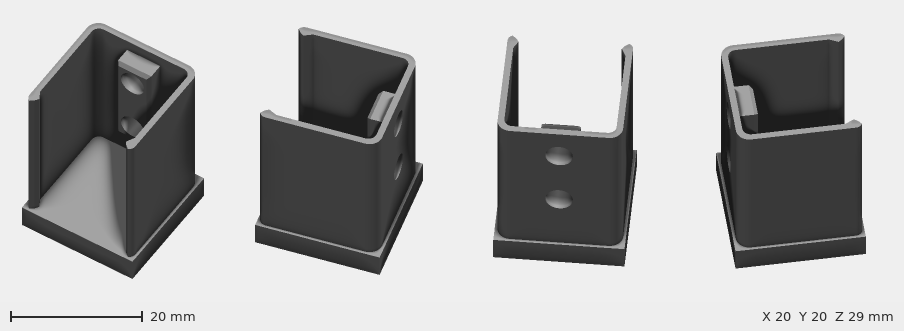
import cadquery as cq

base_side = 20.0
base_height = 4.0
total_height = 29.0

sleeve_half = 9.57
wall = 1.02
inner_half = sleeve_half - wall
outer_corner_radius = 2.03
inner_corner_radius = 1.3

lip_start_y = -7.1
lip_tip_x = 7.85
lip_tip_y = -8.47
nose_start_y = -8.5
nose_bend_x = 9.4
nose_bend_y = -9.14
nose_x = 8.9
nose_end_x = 8.3
nose_end_y = -9.08

block_width = 6.0
block_height = 16.0
block_top_gap = 2.0
block_front_y = 5.45
block_center_z = total_height - block_top_gap - block_height / 2
chamfer_depth = 0.6
chamfer_inset = 0.5

hole_diameter = 4.2
hole_spacing = 10.0


def make_base():
    return cq.Workplane("XY").box(base_side, base_side, base_height, centered=(True, True, False))


def make_sleeve():
    """U-shaped wall with rounded back corners and hooked, round-nosed ends."""
    height = total_height - base_height
    sleeve = (
        cq.Workplane("XY", origin=(0, 0, base_height))
        .moveTo(-sleeve_half, sleeve_half)
        .lineTo(-sleeve_half, nose_start_y)
        .threePointArc((-nose_bend_x, nose_bend_y), (-nose_x, -sleeve_half))
        .lineTo(-nose_end_x, nose_end_y)
        .lineTo(-lip_tip_x, lip_tip_y)
        .lineTo(-inner_half, lip_start_y)
        .lineTo(-inner_half, inner_half)
        .lineTo(inner_half, inner_half)
        .lineTo(inner_half, lip_start_y)
        .lineTo(lip_tip_x, lip_tip_y)
        .lineTo(nose_end_x, nose_end_y)
        .lineTo(nose_x, -sleeve_half)
        .threePointArc((nose_bend_x, nose_bend_y), (sleeve_half, nose_start_y))
        .lineTo(sleeve_half, sleeve_half)
        .close()
        .extrude(height)
    )
    middle_z = base_height + height / 2
    for corner, radius in ((sleeve_half, outer_corner_radius), (inner_half, inner_corner_radius)):
        for side in (-1, 1):
            edge = cq.selectors.NearestToPointSelector((side * corner, corner, middle_z))
            sleeve = sleeve.edges(edge).fillet(radius)
    return sleeve


def make_block():
    """Mounting block, run into the back wall and chamfered around its front face."""
    middle_y = (inner_half + sleeve_half) / 2
    return (
        cq.Workplane("XZ", origin=(0, middle_y, block_center_z))
        .rect(block_width, block_height)
        .extrude(middle_y - block_front_y)
        .faces("<Y")
        .chamfer(chamfer_depth, chamfer_inset)
    )


def make_holes():
    return (
        cq.Workplane("XZ", origin=(0, sleeve_half, block_center_z))
        .pushPoints([(0, -hole_spacing / 2), (0, hole_spacing / 2)])
        .circle(hole_diameter / 2)
        .extrude(sleeve_half - block_front_y)
    )


result = make_base().union(make_sleeve()).union(make_block()).cut(make_holes())